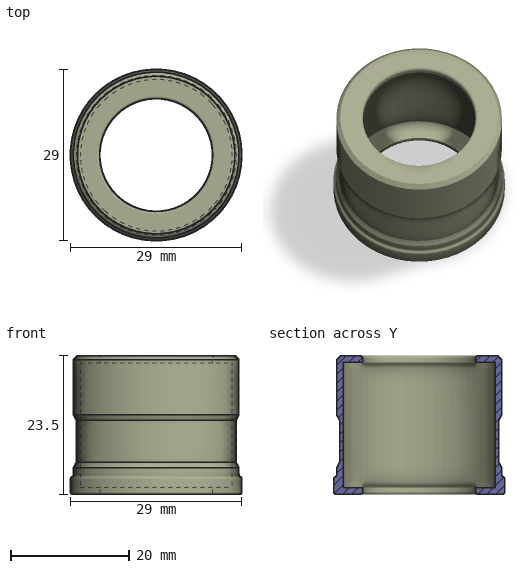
import cadquery as cq
import math

height = 23.5
flange_radius = 14.5

land_radius = 14.0
neck_radius = 13.5
flange_round = 0.4
flange_side_top = 2.6
lower_land_top = 4.5
neck_bottom = 5.42
neck_top = 12.55
upper_land_bottom = 13.48
top_chamfer = 0.7

bore_radius = 9.5
mouth_round = 0.5
lip_thickness = 1.2
cavity_radius = 12.82

blend_width = flange_radius - land_radius
blend_angle = math.acos(1 - blend_width / (2 * flange_round))
blend_height = 2 * flange_round * math.sin(blend_angle)


def make_body():
    """Revolve the stepped outside, with its rounded flange, about Z."""
    blend_middle = (flange_radius - blend_width / 2, flange_side_top + blend_height / 2)
    blend_end = (land_radius, flange_side_top + blend_height)
    profile = (
        cq.Workplane("XZ")
        .lineTo(flange_radius, 0)
        .lineTo(flange_radius, flange_side_top)
        .radiusArc(blend_middle, -flange_round)
        .radiusArc(blend_end, flange_round)
        .lineTo(land_radius, lower_land_top)
        .lineTo(neck_radius, neck_bottom)
        .lineTo(neck_radius, neck_top)
        .lineTo(land_radius, upper_land_bottom)
        .lineTo(land_radius, height)
        .lineTo(0, height)
        .close()
    )
    body = profile.revolve(360, (0, 0, 0), (0, 1, 0))
    return body.faces(">Z").edges().chamfer(top_chamfer).faces("<Z").edges().fillet(flange_round)


def cut_bore(body):
    """Cut the through bore and round both of its mouths."""
    bored = body.cut(cq.Workplane("XY").circle(bore_radius).extrude(height))
    mouths = bored.edges("%CIRCLE").filter(lambda edge: math.isclose(edge.radius(), bore_radius))
    return mouths.fillet(mouth_round)


def make_cavity():
    """Wide inner cavity left between two equal end lips."""
    cavity_length = height - 2 * lip_thickness
    return cq.Workplane("XY", origin=(0, 0, lip_thickness)).circle(cavity_radius).extrude(cavity_length)


result = cut_bore(make_body()).cut(make_cavity())